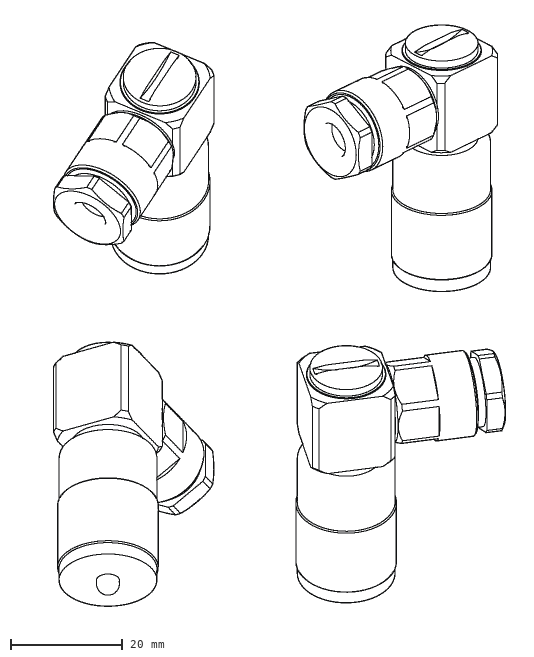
import cadquery as cq
import math


sleeve_radius = 8.75
sleeve_height = 26.75
sleeve_fillet = 1.0
ring_radius = 9.0
ring_bottom = 2.4
ring_top = 16.1
ring_chamfer = ring_radius - sleeve_radius
neck_radius = 6.5
neck_length = 2.05
pin_radius = 2.05
pin_projection = 2.8

block_width = 15.1
block_bottom = sleeve_height + neck_length
block_height = 15.8
block_top = block_bottom + block_height
block_corner_radius = 10.0
block_end_radius = 9.1
block_end_chamfer = 1.0

seat_radius = 7.1
seat_height = 0.15
seat_chamfer = 0.1
cap_radius = 6.5
cap_rim_height = 1.6
cap_height = 2.1
cap_flat_radius = 3.55
slot_width = 1.7
slot_length = 11.8
slot_radius = 16.0

gland_axis_height = block_bottom + 8.12
gland_radius = 7.75
hex_across_flats = 14.0
gland_neck_radius = 6.95
gland_start = 8.0
hex_end = 15.5
gland_edge = 22.2
gland_end = 22.55
gland_edge_chamfer = 0.35
stem_radius = 6.25
shoulder_radius = 7.1
shoulder_length = 0.3

nut_radius = 7.8
nut_start = 24.2
nut_end = 27.73
nut_face_radius = 6.65
nut_chamfer_angle = 30
bore_radius = 3.25
bore_fillet = 1.0


def turned(points):
    """Solid turned about Z from (radius, height) points; both ends lie on the axis."""
    return cq.Workplane("XZ").polyline(points).close().revolve(360, (0, 0, 0), (0, 1, 0))


def on_gland_axis(shape):
    """Moves a shape built along +Z onto the gland axis, which runs along -Y."""
    return shape.rotate((0, 0, 0), (1, 0, 0), 90).translate((0, 0, gland_axis_height))


def hexagon(start, end):
    """Hexagonal prism along Z with two flats facing +X and -X."""
    across_corners = hex_across_flats / math.cos(math.radians(30))
    return (
        cq.Workplane("XY", origin=(0, 0, start))
        .transformed(rotate=(0, 0, 30))
        .polygon(6, across_corners)
        .extrude(end - start)
    )


def make_plug():
    sleeve = cq.Workplane("XY").circle(sleeve_radius).extrude(sleeve_height)
    sleeve = sleeve.faces(">Z").edges().fillet(sleeve_fillet)
    ring = cq.Workplane("XY", origin=(0, 0, ring_bottom)).circle(ring_radius).extrude(ring_top - ring_bottom)
    ring = ring.edges().chamfer(ring_chamfer)
    neck = cq.Workplane("XY", origin=(0, 0, sleeve_height)).circle(neck_radius).extrude(neck_length)
    ball_height = pin_radius - pin_projection
    pin = cq.Workplane("XY", origin=(0, 0, ball_height)).circle(pin_radius).extrude(-ball_height)
    ball = cq.Workplane("XY", origin=(0, 0, ball_height)).sphere(pin_radius)
    return sleeve.union(ring).union(neck).union(pin.union(ball))


def make_block():
    """Square block whose corners are trimmed by a cylinder with coned ends."""
    block = cq.Workplane("XY", origin=(0, 0, block_bottom)).rect(block_width, block_width).extrude(block_height)
    envelope = turned([
        (0, block_bottom),
        (block_end_radius, block_bottom),
        (block_corner_radius, block_bottom + block_end_chamfer),
        (block_corner_radius, block_top - block_end_chamfer),
        (block_end_radius, block_top),
        (0, block_top),
    ])
    return block.intersect(envelope)


def make_cap():
    """Screw cap with a conical top, standing on a low seat."""
    seat = cq.Workplane("XY").circle(seat_radius).extrude(seat_height).faces(">Z").edges().chamfer(seat_chamfer)
    cap = turned([
        (0, 0),
        (cap_radius, 0),
        (cap_radius, cap_rim_height),
        (cap_flat_radius, cap_height),
        (0, cap_height),
    ])
    half_length = slot_length / 2
    cone_slope = (cap_height - cap_rim_height) / (cap_radius - cap_flat_radius)
    slot_end_height = cap_rim_height + (cap_radius - half_length) * cone_slope
    cutter_height = slot_end_height + math.sqrt(slot_radius**2 - half_length**2)
    cutter = (
        cq.Workplane("YZ", origin=(0, 0, cutter_height))
        .circle(slot_radius)
        .extrude(slot_width / 2, both=True)
    )
    return seat.union(cap).cut(cutter).translate((0, 0, block_top))


def make_gland():
    gland = turned([
        (0, block_width / 2),
        (gland_neck_radius, block_width / 2),
        (gland_neck_radius, gland_start),
        (gland_radius, gland_start + gland_radius - gland_neck_radius),
        (gland_radius, gland_edge),
        (gland_radius - gland_edge_chamfer, gland_end),
        (shoulder_radius, gland_end),
        (stem_radius, gland_end + shoulder_length),
        (stem_radius, nut_start),
        (0, nut_start),
    ])
    outside_flats = (
        cq.Workplane("XY").circle(2 * gland_radius).extrude(hex_end).cut(hexagon(0, hex_end))
    )
    return on_gland_axis(gland.cut(outside_flats))


def make_nut():
    """Hexagonal gland nut with a coned outer face and a rounded cable entry."""
    cone_length = (nut_radius - nut_face_radius) * math.tan(math.radians(nut_chamfer_angle))
    envelope = turned([
        (0, nut_start),
        (nut_radius, nut_start),
        (nut_radius, nut_end - cone_length),
        (nut_face_radius, nut_end),
        (0, nut_end),
    ])
    nut = hexagon(nut_start, nut_end).intersect(envelope)
    nut = nut.faces(">Z").workplane().hole(2 * bore_radius)
    nut = nut.edges(cq.selectors.RadiusNthSelector(0)).edges(">Z").fillet(bore_fillet)
    return on_gland_axis(nut)


plug = make_plug()
elbow = make_block().union(make_cap()).union(make_gland()).union(make_nut())

result = cq.Compound.makeCompound([plug.val(), elbow.val()])